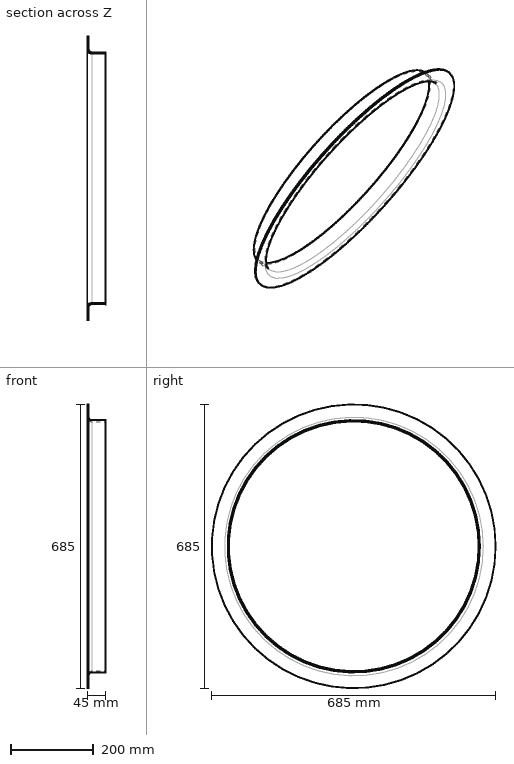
import cadquery as cq

length = 45.0
flange_diameter = 685.0
collar_outer_diameter = 609.6
wall = 4.0
inner_bend_radius = 7.0

flange_radius = flange_diameter / 2
collar_outer_radius = collar_outer_diameter / 2
collar_inner_radius = collar_outer_radius - wall
outer_bend_radius = inner_bend_radius + wall
front_x = -length / 2
back_x = length / 2
flange_back_x = front_x + wall


def bend_profile():
    """Closed half section of the flanged collar, with radius along Y."""
    return (
        cq.Workplane("XY")
        .moveTo(front_x, flange_radius)
        .lineTo(front_x, collar_inner_radius + outer_bend_radius)
        .radiusArc((front_x + outer_bend_radius, collar_inner_radius), -outer_bend_radius)
        .lineTo(back_x, collar_inner_radius)
        .lineTo(back_x, collar_outer_radius)
        .lineTo(flange_back_x + inner_bend_radius, collar_outer_radius)
        .radiusArc((flange_back_x, collar_outer_radius + inner_bend_radius), inner_bend_radius)
        .lineTo(flange_back_x, flange_radius)
        .close()
    )


result = bend_profile().revolve(360, (0, 0, 0), (1, 0, 0))